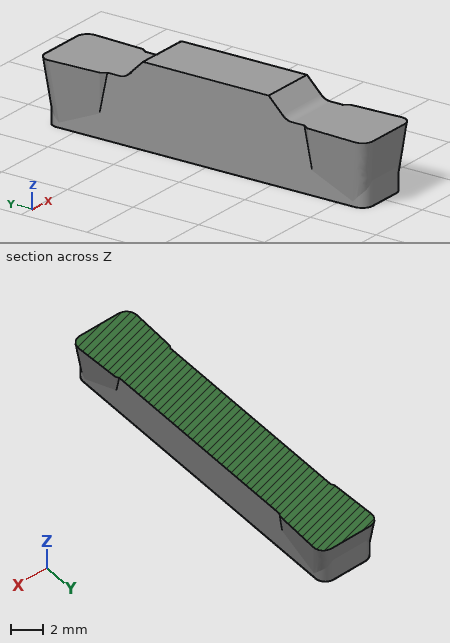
import cadquery as cq
import math

overall_length = 24.98
overall_height = 5.97
overall_width = 5.05

body_length = 24.32
body_width = 4.16
body_corner_radius = 0.8
end_height = 4.60
plateau_length = 9.58
ramp_angle = 45.0
ramp_foot_radius = 1.0

head_corner_radius = 0.8
relief_angle = 6.6
flank_relief_angle = 5.7
side_back_taper_angle = 2.5
shoulder_start = 7.92
shoulder_angle = 34.0
shoulder_edge_radius = 0.2
head_root_half_width = 1.2


def tangent(angle):
    return math.tan(math.radians(angle))


def make_body():
    """Rounded bar cut to the stepped side profile."""
    half_length = body_length / 2
    plateau_end = plateau_length / 2
    ramp_foot = plateau_end + (overall_height - end_height) / tangent(ramp_angle)
    bar = (
        cq.Workplane("XY")
        .rect(body_width, body_length)
        .extrude(overall_height)
        .edges("|Z")
        .fillet(body_corner_radius)
    )
    side_profile = (
        cq.Workplane("YZ")
        .polyline([
            (-half_length, 0),
            (half_length, 0),
            (half_length, end_height),
            (ramp_foot, end_height),
            (plateau_end, overall_height),
            (-plateau_end, overall_height),
            (-ramp_foot, end_height),
            (-half_length, end_height),
        ])
        .close()
        .extrude(body_width / 2, both=True)
    )
    near_foot = cq.selectors.NearestToPointSelector((0, -ramp_foot, end_height))
    far_foot = cq.selectors.NearestToPointSelector((0, ramp_foot, end_height))
    side_profile = side_profile.edges(near_foot + far_foot).fillet(ramp_foot_radius)
    return bar.intersect(side_profile)


def flank_reference_half_width():
    """Half width of the unrounded top outline at its outer edge.

    The rounded corner is tangent to the tapering flank a little way in from
    the outer edge; the widest point of the arc sets the overall width.
    """
    taper = math.radians(side_back_taper_angle)
    arc_centre_x = overall_width / 2 - head_corner_radius
    return arc_centre_x + head_corner_radius * (1 / math.cos(taper) + math.tan(taper))


def head_outline(depth):
    """Corners of the head outline at a depth below its top face (+Y end)."""
    taper = tangent(side_back_taper_angle)
    slope = tangent(shoulder_angle)

    top_front_y = overall_length / 2
    front_y = top_front_y - depth * tangent(relief_angle)
    top_flank_x = flank_reference_half_width()
    flank_x = top_flank_x - depth * tangent(flank_relief_angle)
    front_x = flank_x - taper * (top_front_y - front_y)

    top_shoulder_x = top_flank_x - taper * (top_front_y - shoulder_start)
    shoulder_inset = depth * tangent(relief_angle) / math.cos(math.radians(shoulder_angle))
    shoulder_x = top_shoulder_x - shoulder_inset

    flank_x_at_start = flank_x - taper * (top_front_y - shoulder_start)
    corner_shift = (flank_x_at_start - shoulder_x) / (slope - taper)
    corner_x = flank_x_at_start + taper * corner_shift
    corner_y = shoulder_start + corner_shift
    root_y = shoulder_start - (shoulder_x - head_root_half_width) / slope

    right_side = [
        (front_x, front_y),
        (corner_x, corner_y),
        (head_root_half_width, root_y),
    ]
    left_side = [(-x, y) for x, y in reversed(right_side)]
    return right_side + left_side


def corner_edges(corners_top, corners_bottom, index):
    """Selector for the pair of sloping edges at one outline corner, left and right."""
    x_mid = (corners_top[index][0] + corners_bottom[index][0]) / 2
    y_mid = (corners_top[index][1] + corners_bottom[index][1]) / 2
    z_mid = end_height / 2
    right_edge = cq.selectors.NearestToPointSelector((x_mid, y_mid, z_mid))
    left_edge = cq.selectors.NearestToPointSelector((-x_mid, y_mid, z_mid))
    return right_edge + left_edge


def make_head():
    """Cutting head at the +Y end, relieved on every side below its top face."""
    top = head_outline(0)
    bottom = head_outline(end_height)
    head = (
        cq.Workplane("XY")
        .polyline(bottom)
        .close()
        .workplane(offset=end_height)
        .polyline(top)
        .close()
        .loft(ruled=True)
    )
    head = head.edges(corner_edges(top, bottom, 0)).fillet(head_corner_radius)
    return head.edges(corner_edges(top, bottom, 1)).fillet(shoulder_edge_radius)


head = make_head()
opposite_head = head.mirror("XZ")
result = make_body().union(head).union(opposite_head).clean()